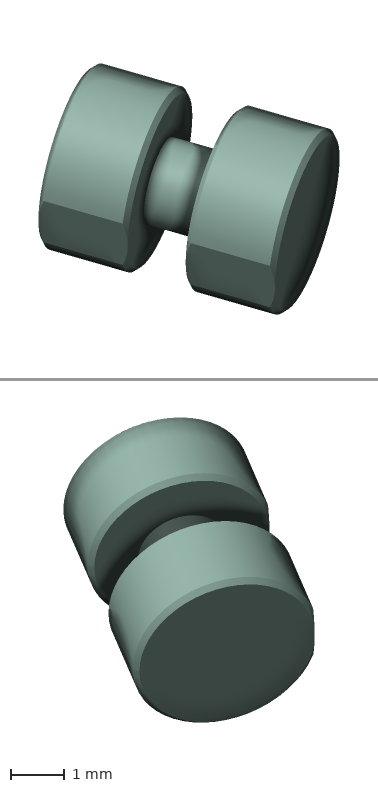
import cadquery as cq

overall_length = 4.7
neck_length = 1.15
head_diameter = 3.6
neck_diameter = 1.7
head_chamfer = 0.1
flat_distance = 1.7

head_length = (overall_length - neck_length) / 2
head_radius = head_diameter / 2
head_offset = (neck_length + head_length) / 2


def rod(diameter, length):
    """Cylinder along X, centred on the origin."""
    return cq.Workplane("YZ").circle(diameter / 2).extrude(length / 2, both=True)


def head(centre_x):
    """Disc with both rims chamfered and one flat facing -Y."""
    disc = rod(head_diameter, head_length).edges("%CIRCLE").chamfer(head_chamfer)
    keep_depth = flat_distance + head_radius
    keep_box = (
        cq.Workplane("XY")
        .box(head_length, keep_depth, head_diameter)
        .translate((0, keep_depth / 2 - flat_distance, 0))
    )
    return disc.intersect(keep_box).translate((centre_x, 0, 0))


result = rod(neck_diameter, 2 * head_offset)
for side in (-1, 1):
    result = result.union(head(side * head_offset))